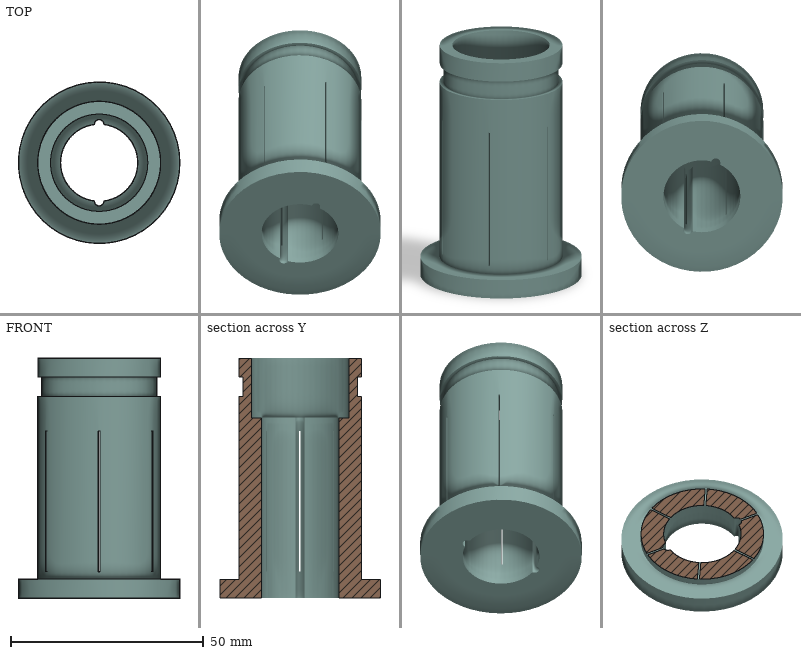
import cadquery as cq

flange_diameter = 42.0
flange_height = 5.0
sleeve_diameter = 32.0
groove_diameter = 30.0
groove_width = 5.0
collar_diameter = 31.9
collar_height = 5.0
total_height = 62.5
groove_top = total_height - collar_height
groove_bottom = groove_top - groove_width

bore_diameter = 20.0
counterbore_diameter = 25.3
counterbore_depth = 15.5
counterbore_floor = total_height - counterbore_depth
keyway_radius = 1.2
keyway_offset = bore_diameter / 2

slit_pair_count = 3
first_slit_angle = 30.0
slit_width = 0.4
slit_bottom = 7.0
slit_length = 36.5
slit_cutter_span = flange_diameter


def cylinder(diameter, bottom, top):
    """Solid cylinder on the Z axis between two heights."""
    return cq.Workplane("XY").workplane(offset=bottom).circle(diameter / 2).extrude(top - bottom)


def make_body():
    """Flanged sleeve with a groove below its top collar."""
    flange = cylinder(flange_diameter, 0, flange_height)
    sleeve = cylinder(sleeve_diameter, flange_height, groove_bottom)
    neck = cylinder(groove_diameter, groove_bottom, groove_top)
    collar = cylinder(collar_diameter, groove_top, total_height)
    return flange.union(sleeve).union(neck).union(collar)


def make_bore():
    """Through bore with opposite keyways and a wider counterbore at the top."""
    keyways = (
        cq.Workplane("XY")
        .pushPoints([(0, keyway_offset), (0, -keyway_offset)])
        .circle(keyway_radius)
        .extrude(total_height)
    )
    bore = cylinder(bore_diameter, 0, total_height)
    counterbore = cylinder(counterbore_diameter, counterbore_floor, total_height)
    return bore.union(keyways).union(counterbore)


def make_slit_pair(angle):
    """Thin slab across the sleeve that cuts two opposite slits."""
    slab = (
        cq.Workplane("XY")
        .workplane(offset=slit_bottom)
        .rect(slit_cutter_span, slit_width)
        .extrude(slit_length)
    )
    return slab.rotate((0, 0, 0), (0, 0, 1), angle)


result = make_body().cut(make_bore())
for pair in range(slit_pair_count):
    result = result.cut(make_slit_pair(first_slit_angle + pair * 180 / slit_pair_count))